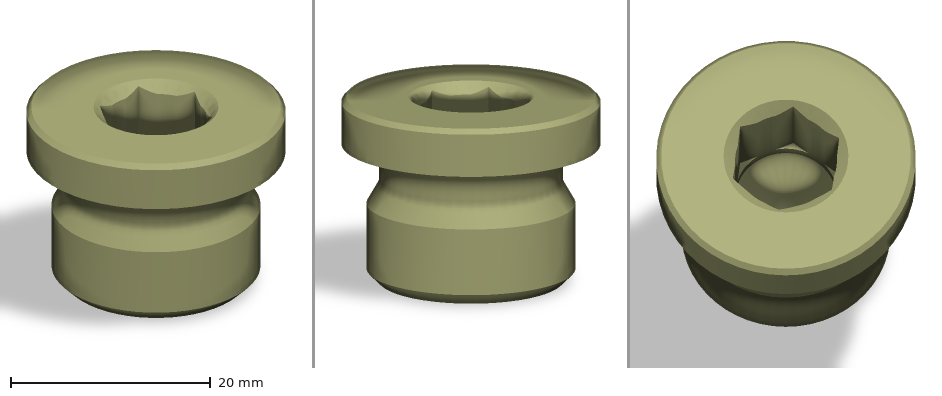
import cadquery as cq
import math

total_height = 19.0
head_height = 5.0
upper_round_length = 0.95
shank_start_depth = 11.0

head_diameter = 26.0
neck_diameter = 18.4
shank_diameter = 20.955
countersink_diameter = 12.5
drill_diameter = 10.2

head_top_chamfer = 0.5
tip_chamfer = 1.2
head_bottom_bevel_width = 0.5
head_bottom_bevel_slope = math.radians(15)
upper_round_radius = 1.2
lower_round_radius = 1.3
shoulder_slope = math.radians(30)

hex_across_flats = 10.0
hex_depth = 9.0
drill_depth = 10.0
drill_point_angle = math.radians(118)

head_radius = head_diameter / 2
neck_radius = neck_diameter / 2
shank_radius = shank_diameter / 2


def revolve_about_axis(profile):
    """Turn a closed half profile (radius, Z) a full turn about the Z axis."""
    return profile.revolve(360, (0, 0, 0), (0, 1, 0))


def neck_round_point(start_z, round_radius, angle):
    """Point on a round that leaves the neck tangentially at start_z.

    A positive angle runs upward from the neck, a negative angle runs downward.
    """
    radius = neck_radius + round_radius * (1 - math.cos(angle))
    return radius, start_z + round_radius * math.sin(angle)


def make_body():
    """Head, neck, shoulder cone and shank as one turned solid."""
    underside_z = total_height - head_height
    bevel_height = head_bottom_bevel_width * math.tan(head_bottom_bevel_slope)
    shoulder_z = total_height - shank_start_depth

    upper_start_z = underside_z - upper_round_length
    upper_sweep = math.asin(upper_round_length / upper_round_radius)

    sharp_corner_z = shoulder_z + (shank_radius - neck_radius) / math.tan(shoulder_slope)
    lower_start_z = sharp_corner_z + lower_round_radius * math.tan(shoulder_slope / 2)

    profile = (
        cq.Workplane("XZ")
        .moveTo(0, 0)
        .lineTo(shank_radius - tip_chamfer, 0)
        .lineTo(shank_radius, tip_chamfer)
        .lineTo(shank_radius, shoulder_z)
        .lineTo(*neck_round_point(lower_start_z, lower_round_radius, -shoulder_slope))
        .threePointArc(
            neck_round_point(lower_start_z, lower_round_radius, -shoulder_slope / 2),
            (neck_radius, lower_start_z),
        )
        .lineTo(neck_radius, upper_start_z)
        .threePointArc(
            neck_round_point(upper_start_z, upper_round_radius, upper_sweep / 2),
            neck_round_point(upper_start_z, upper_round_radius, upper_sweep),
        )
        .lineTo(head_radius - head_bottom_bevel_width, underside_z)
        .lineTo(head_radius, underside_z + bevel_height)
        .lineTo(head_radius, total_height - head_top_chamfer)
        .lineTo(head_radius - head_top_chamfer, total_height)
        .lineTo(0, total_height)
        .close()
    )
    return revolve_about_axis(profile)


def make_hex_socket():
    """Hexagonal prism with two opposite corners in the XZ plane."""
    across_corners = hex_across_flats / math.cos(math.radians(30))
    return (
        cq.Workplane("XY", origin=(0, 0, total_height - hex_depth))
        .polygon(6, across_corners)
        .extrude(hex_depth)
    )


def make_drilled_hole():
    """Blind hole with a conical bottom and a 90 degree countersink at its mouth."""
    drill_radius = drill_diameter / 2
    countersink_radius = countersink_diameter / 2
    countersink_depth = countersink_radius - drill_radius
    drill_end_z = total_height - drill_depth
    point_length = drill_radius / math.tan(drill_point_angle / 2)
    profile = (
        cq.Workplane("XZ")
        .moveTo(0, drill_end_z - point_length)
        .lineTo(drill_radius, drill_end_z)
        .lineTo(drill_radius, total_height - countersink_depth)
        .lineTo(countersink_radius, total_height)
        .lineTo(0, total_height)
        .close()
    )
    return revolve_about_axis(profile)


result = make_body().cut(make_hex_socket()).cut(make_drilled_hole())